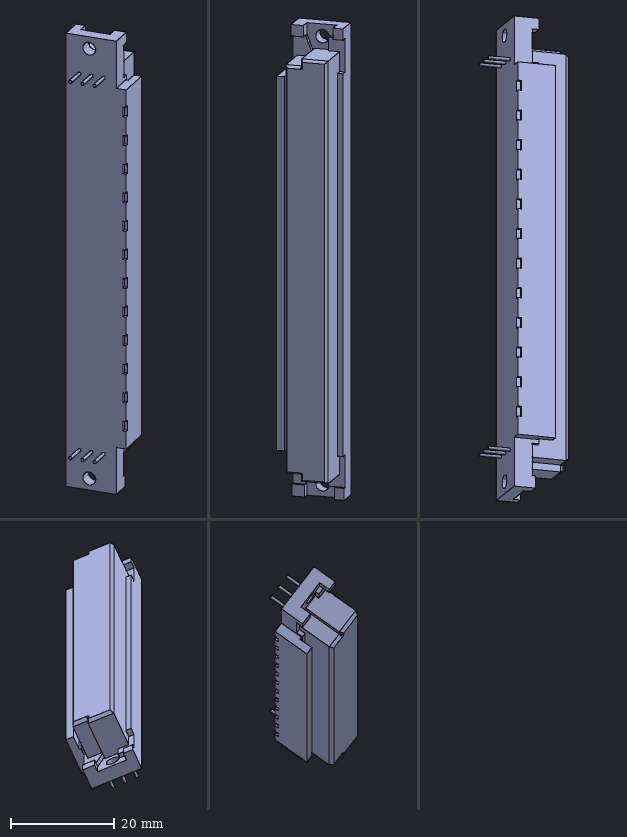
import cadquery as cq
import math

length = 94.9
base_width = 10.6
wall_height = 5.1
lower_ear_height = 4.4
seat_height = 3.7
middle_half_length = 38.4
upper_ear_thickness = 2.3
lower_ear_thickness = 2.5

hole_diameter = 2.7
hole_x = 4.9
hole_z = 45.0
slot_width = 3.0
channel_left = 2.0
channel_right = 8.1
channel_floor = 2.8

plug_left = 1.1
plug_right = 9.8
plug_step_x = 6.55
plug_top = 11.7
plug_half_length = 42.4
plug_step = 1.4
bevel_height = 0.8
bevel_inset = 0.5

rail_inner_x = 11.1
rail_outer_x = 12.7
rail_height = 7.7
rail_web_height = 4.8
rail_half_length = 37.6
notch_count = 12
notch_pitch = 6.0
notch_length = 2.0
notch_width = 0.7
notch_depth = 0.8

pin_diameter = 0.7
pin_length = 4.5
pin_pitch = 2.6
pin_middle_x = 5.4
pin_row_z = 39.4


def block(x0, x1, y0, y1, z0, z1):
    """Box given by its limits along each axis."""
    return cq.Workplane("XY").box(x1 - x0, y1 - y0, z1 - z0, centered=False).translate((x0, y0, z0))


def rod(diameter, x, z, y0, y1):
    """Cylinder along Y."""
    return cq.Workplane("XZ", origin=(x, y0, z)).circle(diameter / 2).extrude(y0 - y1)


def make_base():
    half = length / 2
    base = block(0, base_width, 0, seat_height, -half, half)
    middle = block(0, base_width, 0, wall_height, -middle_half_length, middle_half_length)
    upper_ear = block(0, base_width, 0, wall_height, half - upper_ear_thickness, half)
    lower_ear = block(0, base_width, 0, lower_ear_height, -half, -half + lower_ear_thickness)
    return base.union(middle).union(upper_ear).union(lower_ear)


def make_end_relief(ear_thickness):
    """Cutter for the upper end: ear channel, slot over the hole and a steep ramp to its right."""
    end_z = length / 2
    ear_z = end_z - ear_thickness
    slot_left = hole_x - slot_width / 2
    slot_right = hole_x + slot_width / 2
    slot_end_z = plug_half_length - plug_step
    channel = block(channel_left, channel_right, channel_floor, wall_height, ear_z, end_z)
    slot = block(slot_left, slot_right, channel_floor, wall_height, slot_end_z, end_z)
    ramp_points = [(slot_right, slot_end_z), (channel_right, ear_z), (slot_right, ear_z)]
    ramp = (
        cq.Workplane("XZ", origin=(0, channel_floor, 0))
        .polyline(ramp_points)
        .close()
        .extrude(channel_floor - wall_height)
    )
    return channel.union(slot).union(ramp)


def make_plug():
    step_z = plug_half_length - plug_step
    outline = [
        (plug_left, -plug_half_length),
        (plug_step_x, -plug_half_length),
        (plug_step_x, -step_z),
        (plug_right, -step_z),
        (plug_right, step_z),
        (plug_step_x, step_z),
        (plug_step_x, plug_half_length),
        (plug_left, plug_half_length),
    ]
    bevel_start = plug_top - bevel_height
    bevel_angle = math.degrees(math.atan2(bevel_inset, bevel_height))
    body = cq.Workplane("XZ", origin=(0, channel_floor, 0)).polyline(outline).close()
    body = body.extrude(channel_floor - bevel_start)
    bevel = cq.Workplane("XZ", origin=(0, bevel_start, 0)).polyline(outline).close()
    bevel = bevel.extrude(-bevel_height, taper=bevel_angle)
    return body.union(bevel)


def make_rail():
    half = rail_half_length
    rail = block(rail_inner_x, rail_outer_x, 0, rail_height, -half, half)
    web = block(base_width, rail_inner_x, 0, rail_web_height, -half, half)
    rail = rail.union(web)
    notch_left = rail_outer_x - notch_width
    for index in range(notch_count):
        z = (index - (notch_count - 1) / 2) * notch_pitch
        z0 = z - notch_length / 2
        rail = rail.cut(block(notch_left, rail_outer_x, 0, notch_depth, z0, z0 + notch_length))
    return rail


upper_relief = make_end_relief(upper_ear_thickness)
lower_relief = make_end_relief(lower_ear_thickness).mirror("XY")
result = make_base().cut(upper_relief).cut(lower_relief)
result = result.union(make_plug()).union(make_rail())

for side in (-1, 1):
    result = result.cut(rod(hole_diameter, hole_x, side * hole_z, 0, wall_height))
    for column in (-1, 0, 1):
        pin_x = pin_middle_x + column * pin_pitch
        result = result.union(rod(pin_diameter, pin_x, side * pin_row_z, -pin_length, channel_floor))